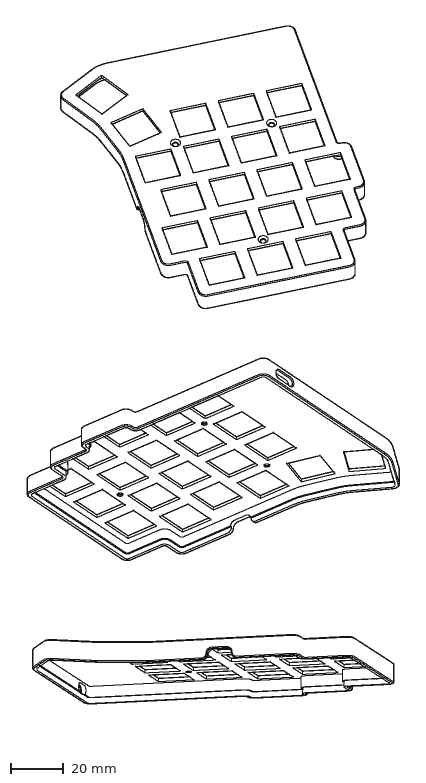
import cadquery as cq
import math

height = 7.8
plate_thickness = 1.3
edge_chamfer = 0.4

key_pitch = 19.0
key_cutout = 14.0
rim = 2.5
margin = key_pitch / 2 + rim
first_column_x = -25.375
top_row_y = 33.24
stagger = key_pitch / 4
column_shifts = [0, 0, stagger, 0, -2 * stagger]
column_key_counts = [3, 4, 4, 4, 3]

thumb_key_count = 2
thumb_turn = 15.0
thumb_spacing = 21.3

controller_bay = 25.25
corner_radius = 3.0
step_radius = 0.75
thumb_bend_radius = 20.5
left_bend_radius = 13.5

cavity_inset = 2.2
cover_inset = 1.6
cover_depth = 2.2

screw_diameter = 2.2
screw_head_diameter = 3.8
screw_head_angle = 90.0
right_screw_shift = -0.5

port_width = 10.0
port_height = 3.4
port_y = 32.8
port_z = height / 2

notch_width = 9.6
notch_height = 4.0
notch_radius = notch_height / 2


def column_x(column):
    return first_column_x + column * key_pitch


def key_y(column, row):
    return top_row_y + column_shifts[column] - row * key_pitch


def last_key_y(column):
    return key_y(column, column_key_counts[column] - 1)


def thumb_keys():
    """Centre and turn of each thumb key, fanned out from the last key of column 1."""
    x, y = column_x(1), last_key_y(1)
    keys = []
    for step in range(1, thumb_key_count + 1):
        direction = math.radians((step - 0.5) * thumb_turn)
        x -= thumb_spacing * math.cos(direction)
        y -= thumb_spacing * math.sin(direction)
        keys.append((x, y, step * thumb_turn))
    return keys


left = first_column_x - margin - controller_bay
top = top_row_y + margin
bottom = last_key_y(3) - margin


def beside_key(key, dx, dy):
    """Point at (dx, dy) from a turned key's centre, measured along the key's own sides."""
    x, y, turn = key
    cosine = math.cos(math.radians(turn))
    sine = math.sin(math.radians(turn))
    return (x + dx * cosine - dy * sine, y + dx * sine + dy * cosine)


def thumb_corners():
    """Outline corners around the thumb keys: front, bend, tip and left bend."""
    inner, outer = thumb_keys()
    inner_slope = math.tan(math.radians(inner[2]))
    outer_slope = math.tan(math.radians(outer[2]))
    inner_x, inner_y = beside_key(inner, 0, -margin)
    outer_x, outer_y = beside_key(outer, 0, -margin)
    front = (inner_x + (bottom - inner_y) / inner_slope, bottom)
    bend_x = (inner_y - outer_y + outer_slope * outer_x - inner_slope * inner_x) / (outer_slope - inner_slope)
    bend = (bend_x, inner_y + inner_slope * (bend_x - inner_x))
    tip = beside_key(outer, -margin, -margin)
    left_bend = (left, tip[1] + (tip[0] - left) / outer_slope)
    return front, bend, tip, left_bend


def outline_corners():
    """Sharp outline corners with their radii, anticlockwise from the front edge."""
    front, bend, tip, left_bend = thumb_corners()
    step_x = column_x(3) + margin
    right = column_x(4) + margin
    right_bottom = last_key_y(4) - margin
    right_top = key_y(4, 0) + margin
    raised_left = column_x(2) - margin
    raised_right = column_x(2) + margin
    raised_top = key_y(2, 0) + margin
    return [
        (front, thumb_bend_radius),
        ((step_x, bottom), corner_radius),
        ((step_x, right_bottom), step_radius),
        ((right, right_bottom), corner_radius),
        ((right, right_top), corner_radius),
        ((step_x, right_top), step_radius),
        ((step_x, top), corner_radius),
        ((raised_right, top), step_radius),
        ((raised_right, raised_top), corner_radius),
        ((raised_left, raised_top), corner_radius),
        ((raised_left, top), step_radius),
        ((left, top), corner_radius),
        (left_bend, left_bend_radius),
        (tip, corner_radius),
        (bend, thumb_bend_radius),
    ]


def toward(start, end, distance):
    """Point at a distance from start on the line to end."""
    length = math.dist(start, end)
    return tuple(a + (b - a) * distance / length for a, b in zip(start, end))


def corner_arc(before, corner, after, radius):
    """Start, middle and end of the arc that rounds a corner tangent to both sides."""
    to_before = math.atan2(before[1] - corner[1], before[0] - corner[0])
    to_after = math.atan2(after[1] - corner[1], after[0] - corner[0])
    half_angle = abs(math.remainder(to_after - to_before, 2 * math.pi)) / 2
    tangent = radius / math.tan(half_angle)
    start = toward(corner, before, tangent)
    end = toward(corner, after, tangent)
    chord_middle = ((start[0] + end[0]) / 2, (start[1] + end[1]) / 2)
    middle = toward(corner, chord_middle, radius / math.sin(half_angle) - radius)
    return start, middle, end


def outline():
    corners = outline_corners()
    points = [point for point, radius in corners]
    following = points[1:] + points[:1]
    arcs = [
        corner_arc(points[i - 1], point, following[i], radius)
        for i, (point, radius) in enumerate(corners)
    ]
    sketch = cq.Workplane("XY").moveTo(*arcs[-1][2])
    for start, middle, end in arcs:
        sketch = sketch.lineTo(*start).threePointArc(middle, end)
    return sketch.close()


def case_body():
    body = outline().extrude(height)
    return body.faces("<Z or >Z").edges().chamfer(edge_chamfer)


def cavity():
    inside = outline().offset2D(-cavity_inset).extrude(height - plate_thickness)
    cover_recess = outline().offset2D(-cover_inset).extrude(cover_depth)
    return inside.union(cover_recess)


def key_openings():
    keys = thumb_keys()
    for column, count in enumerate(column_key_counts):
        keys += [(column_x(column), key_y(column, row), 0) for row in range(count)]
    openings = cq.Workplane("XY")
    for x, y, turn in keys:
        opening = cq.Workplane("XY").rect(key_cutout, key_cutout).extrude(height)
        openings = openings.add(opening.rotate((0, 0, 0), (0, 0, 1), turn).translate((x, y, 0)))
    return openings.combine()


def screw_points():
    """Screws sit where the gap right of a column meets the gap below a row."""
    half = key_pitch / 2
    return [
        (column_x(0) + half, key_y(0, 0) - half),
        (column_x(0) + half, key_y(0, 2) - half),
        (column_x(3) + half + right_screw_shift, key_y(3, 1) - half),
    ]


def port():
    """Slot through the left wall with a chamfered mouth."""
    plane = cq.Workplane("YZ", origin=(left, port_y, port_z))
    through = plane.slot2D(port_width, port_height).extrude(cavity_inset)
    mouth = (
        plane.slot2D(port_width + 2 * edge_chamfer, port_height + 2 * edge_chamfer)
        .workplane(offset=edge_chamfer)
        .slot2D(port_width, port_height)
        .loft(ruled=True)
    )
    return through.union(mouth)


def notch_profile(plane, grow):
    """Arch with rounded feet, widened by grow; its lower edge rises by the same amount."""
    half = notch_width / 2 + grow
    foot = notch_radius - grow
    crown = notch_radius + grow
    foot_x = half + foot
    crown_x = half - crown
    z = notch_radius
    diagonal = math.sqrt(0.5)
    return (
        plane.moveTo(-foot_x, z - foot)
        .threePointArc((-foot_x + foot * diagonal, z - foot * diagonal), (-half, z))
        .threePointArc((-crown_x - crown * diagonal, z + crown * diagonal), (-crown_x, z + crown))
        .lineTo(crown_x, z + crown)
        .threePointArc((crown_x + crown * diagonal, z + crown * diagonal), (half, z))
        .threePointArc((foot_x - foot * diagonal, z - foot * diagonal), (foot_x, z - foot))
        .close()
    )


def notch():
    """Arch through the front wall, centred on column 2, with a chamfered mouth."""
    plane = cq.Workplane("XZ", origin=(column_x(2), bottom, 0))
    through = notch_profile(plane, 0).extrude(-cavity_inset)
    mouth = notch_profile(plane, edge_chamfer).workplane(offset=-edge_chamfer)
    mouth = notch_profile(mouth, 0).loft(ruled=True)
    return through.union(mouth)


result = case_body().cut(cavity()).cut(key_openings()).cut(port()).cut(notch())
result = (
    result.faces(">Z")
    .workplane(origin=(0, 0, height))
    .pushPoints(screw_points())
    .cskHole(screw_diameter, screw_head_diameter, screw_head_angle)
)